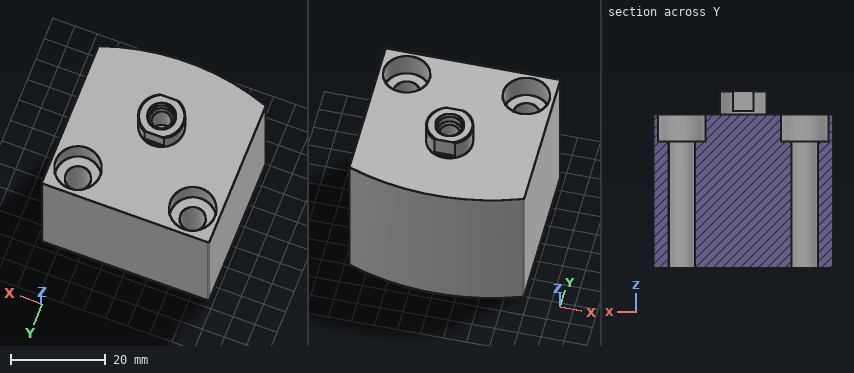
import cadquery as cq
import math

WIDTH = 38.0
DEPTH = 37.0
HEIGHT = 32.5
FRONT_BOW = 3.42
CORNER_RADIUS = 0.38

MOUNT_SPACING = 26.0
MOUNT_FROM_BACK = 6.0
MOUNT_DIAMETER = 5.5
COUNTERBORE_DIAMETER = 10.0
COUNTERBORE_DEPTH = 5.7

ROD_DIAMETER = 10.0
ROD_FROM_BACK = 21.5
ROD_PROTRUSION = 5.0
ROD_INSERTION = 15.2
ROD_CHAMFER = 0.2
FLATS_WIDTH = 8.95
FLATS_HEIGHT = 0.7

MOUTH_DIAMETER = 6.1
ENTRY_DIAMETER = 5.3
ENTRY_DEPTH = 2.05
TAP_DIAMETER = 4.15
TAP_DEPTH = 9.88
CONE_SLOPE = math.tan(math.radians(30))

BACK_Y = ROD_FROM_BACK
FRONT_Y = BACK_Y - DEPTH


def make_housing():
    """Block with the two mounting holes and the blind bore for the rod."""
    half_width = WIDTH / 2
    front_corner_y = FRONT_Y + FRONT_BOW
    block = (
        cq.Workplane("XY")
        .workplane(offset=-HEIGHT)
        .moveTo(half_width, BACK_Y)
        .lineTo(-half_width, BACK_Y)
        .lineTo(-half_width, front_corner_y)
        .threePointArc((0, FRONT_Y), (half_width, front_corner_y))
        .close()
        .extrude(HEIGHT)
        .edges("|Z")
        .fillet(CORNER_RADIUS)
    )
    mount_y = BACK_Y - MOUNT_FROM_BACK
    mount_points = [(side * MOUNT_SPACING / 2, mount_y) for side in (-1, 1)]
    drilled = (
        block.faces(">Z")
        .workplane(origin=(0, 0, 0))
        .pushPoints(mount_points)
        .cboreHole(MOUNT_DIAMETER, COUNTERBORE_DIAMETER, COUNTERBORE_DEPTH)
    )
    rod_bore = cq.Workplane("XY").circle(ROD_DIAMETER / 2).extrude(-ROD_INSERTION)
    return drilled.cut(rod_bore)


def make_stepped_hole():
    """Solid of revolution filling the hole in the rod's end."""
    mouth_radius = MOUTH_DIAMETER / 2
    entry_radius = ENTRY_DIAMETER / 2
    tap_radius = TAP_DIAMETER / 2
    mouth_drop = mouth_radius - entry_radius
    shoulder_drop = (entry_radius - tap_radius) * CONE_SLOPE
    tip_drop = tap_radius * CONE_SLOPE
    top = ROD_PROTRUSION
    profile = [
        (0, top),
        (mouth_radius, top),
        (entry_radius, top - mouth_drop),
        (entry_radius, top - ENTRY_DEPTH),
        (tap_radius, top - ENTRY_DEPTH - shoulder_drop),
        (tap_radius, top - TAP_DEPTH),
        (0, top - TAP_DEPTH - tip_drop),
    ]
    return cq.Workplane("XZ").polyline(profile).close().revolve(360, (0, 0, 0), (0, 1, 0))


def make_rod():
    """Round rod with a chamfered end, two wrench flats and a stepped hole."""
    rod = (
        cq.Workplane("XY")
        .workplane(offset=-ROD_INSERTION)
        .circle(ROD_DIAMETER / 2)
        .extrude(ROD_INSERTION + ROD_PROTRUSION)
        .faces(">Z")
        .chamfer(ROD_CHAMFER)
    )
    flat_length = ROD_PROTRUSION - FLATS_HEIGHT
    for side in (-1, 1):
        flat_cut = (
            cq.Workplane("XY")
            .workplane(offset=FLATS_HEIGHT)
            .center(0, side * (FLATS_WIDTH + ROD_DIAMETER) / 2)
            .rect(ROD_DIAMETER, ROD_DIAMETER)
            .extrude(flat_length)
        )
        rod = rod.cut(flat_cut)
    return rod.cut(make_stepped_hole())


housing = make_housing()
rod = make_rod()

result = cq.Compound.makeCompound([housing.val(), rod.val()])